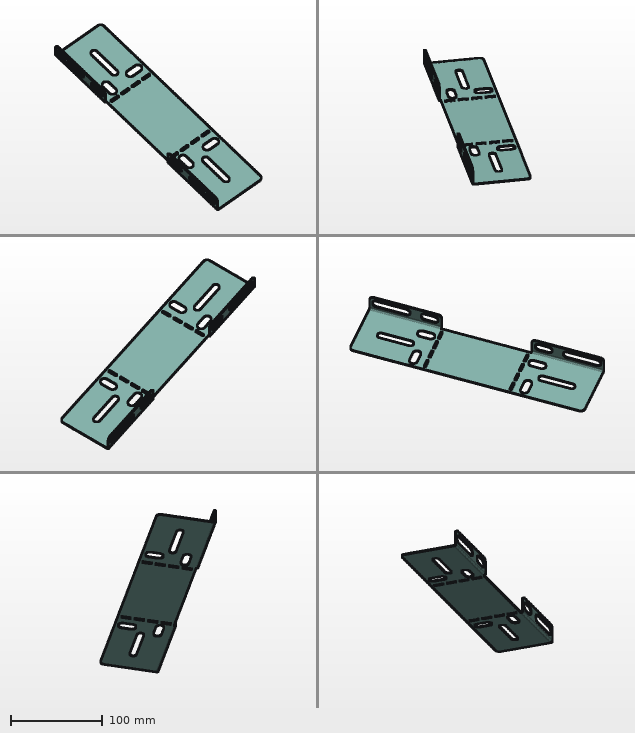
import cadquery as cq
import math

LENGTH = 273.0
DEPTH = 66.0
HEIGHT = 20.0
SHEET = 1.23

BEND_OUTER_RADIUS = 2.32
BEND_INNER_RADIUS = BEND_OUTER_RADIUS - SHEET

FLANGE_LENGTH = 84.0
CORNER_RADIUS = 5.0

SLOT_LENGTH = 20.0
SLOT_WIDTH = 9.0
SLOT_X = 64.7
REAR_SLOT_INSET = 14.0
SLOT_ROW_PITCH = 17.7
LONG_SLOT_LENGTH = 42.0
LONG_SLOT_WIDTH = 7.6
LONG_SLOT_X = 94.0

PERFORATION_LENGTH = 10.0
PERFORATION_WIDTH = 2.0
PERFORATION_PITCH = 15.0
PERFORATION_COUNT = 4
PERFORATION_X = 50.0

FLANGE_SLOT_Z = 11.0
FLANGE_LONG_SLOT_LENGTH = 44.0
OUTER_SLOT_INSET = 25.5
INNER_SLOT_INSET = 70.2

HALF_LENGTH = LENGTH / 2
FLAT_DEPTH = DEPTH - BEND_OUTER_RADIUS
REAR_SLOT_Y = DEPTH - REAR_SLOT_INSET
MIDDLE_SLOT_Y = REAR_SLOT_Y - SLOT_ROW_PITCH
FRONT_SLOT_Y = MIDDLE_SLOT_Y - SLOT_ROW_PITCH
SIDES = (-1, 1)


def make_plate():
    """Flat base that stops where the bends begin, with rounded rear corners."""
    plate = cq.Workplane("XY").box(LENGTH, FLAT_DEPTH, SHEET, centered=(True, False, False))
    return plate.translate((0, BEND_OUTER_RADIUS, 0)).edges("|Z and >Y").fillet(CORNER_RADIUS)


def make_flange(side):
    """Quarter-round bend and upright flange at one end of the front edge."""
    diagonal = math.sqrt(0.5)
    outer_mid = BEND_OUTER_RADIUS * (1 - diagonal)
    inner_mid = BEND_OUTER_RADIUS - BEND_INNER_RADIUS * diagonal
    start_x = -HALF_LENGTH if side < 0 else HALF_LENGTH - FLANGE_LENGTH
    flange = (
        cq.Workplane("YZ", origin=(start_x, 0, 0))
        .moveTo(BEND_OUTER_RADIUS, 0)
        .threePointArc((outer_mid, outer_mid), (0, BEND_OUTER_RADIUS))
        .lineTo(0, HEIGHT)
        .lineTo(SHEET, HEIGHT)
        .lineTo(SHEET, BEND_OUTER_RADIUS)
        .threePointArc((inner_mid, inner_mid), (BEND_OUTER_RADIUS, SHEET))
        .close()
        .extrude(FLANGE_LENGTH)
    )
    return flange.edges("|Y and >Z").fillet(CORNER_RADIUS)


def plate_slot(x, y, length, width, angle=0):
    """Cutter for a round-ended slot through the plate."""
    return cq.Workplane("XY").center(x, y).slot2D(length, width, angle).extrude(SHEET)


def flange_slot(x, length):
    """Cutter for a round-ended slot through a flange."""
    return cq.Workplane("XZ").center(x, FLANGE_SLOT_Z).slot2D(length, SLOT_WIDTH).extrude(-SHEET)


def perforation_row(x):
    """Cutters for one row of perforations, centred level with the long slots."""
    return (
        cq.Workplane("XY")
        .center(x, MIDDLE_SLOT_Y)
        .rarray(2.7, PERFORATION_PITCH, 1, PERFORATION_COUNT)
        .rect(PERFORATION_WIDTH, PERFORATION_LENGTH)
        .extrude(SHEET)
    )


bracket = make_plate()
for side in SIDES:
    bracket = bracket.union(make_flange(side))

for side in SIDES:
    bracket = bracket.cut(plate_slot(side * SLOT_X, REAR_SLOT_Y, SLOT_LENGTH, SLOT_WIDTH, 90))
    bracket = bracket.cut(plate_slot(side * SLOT_X, FRONT_SLOT_Y, SLOT_LENGTH, SLOT_WIDTH))
    bracket = bracket.cut(plate_slot(side * LONG_SLOT_X, MIDDLE_SLOT_Y, LONG_SLOT_LENGTH, LONG_SLOT_WIDTH))
    bracket = bracket.cut(perforation_row(side * PERFORATION_X))

    bracket = bracket.cut(flange_slot(side * (HALF_LENGTH - OUTER_SLOT_INSET), FLANGE_LONG_SLOT_LENGTH))
    bracket = bracket.cut(flange_slot(side * (HALF_LENGTH - INNER_SLOT_INSET), SLOT_LENGTH))

result = bracket